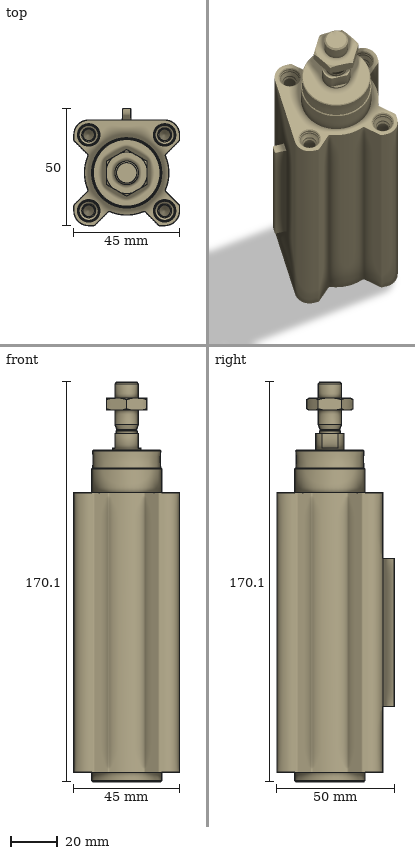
import cadquery as cq
import math


BARREL_BOTTOM = 4.0
BARREL_TOP = 123.2
COLLAR_TOP = 133.5
CAP_TOP = 141.2
ROD_FLATS_TOP = 148.3
THREAD_BOTTOM = 152.0
ROD_TOP = 170.1

BARREL_SIDE = 45.0
HALF_SIDE = BARREL_SIDE / 2
TUBE_DIAMETER = 36.0
SCREW_OFFSET = 16.2
CORNER_RADIUS = HALF_SIDE - SCREW_OFFSET
ARM_CORNER = 13.8
ROOT_FILLET = 0.9
ARM_EDGE_FILLET = 0.9

BOSS_DIAMETER = 30.0
BOSS_CHAMFER = 0.5
CAP_DIAMETER = 29.1
CAP_WAIST_DIAMETER = 28.7
CAP_CHAMFER = 0.3

HOLE_MOUTH_DIAMETER = 9.5
HOLE_RECESS_DIAMETER = 8.7
HOLE_SEAT_DIAMETER = 8.2
HOLE_THREAD_DIAMETER = 6.0
HOLE_CORE_DIAMETER = 5.0
HOLE_STEP_HEIGHT = 0.9
HOLE_DEPTH = 17.0
DRILL_POINT_ANGLE = 118.0

RAIL_WIDTH = 3.5
RAIL_PROJECTION = 5.0
RAIL_BOTTOM = 32.0
RAIL_TOP = 95.1
RAIL_FOOT_HEIGHT = 1.2
RAIL_FOOT_FLARE = 0.2
RAIL_EDGE_FILLET = 0.5

ROD_DIAMETER = 12.0
ROD_FLATS_WIDTH = 10.0
ROD_FLATS_BOTTOM = 142.0
THREAD_DIAMETER = 10.0
GROOVE_DIAMETER = 8.5
THREAD_TIP_DIAMETER = 8.7
THREAD_RUNOUT = 2.0
NECK_DIAMETER = 9.0
NECK_HEIGHT = 1.2

NUT_FLATS_WIDTH = 17.2
NUT_BOTTOM = 158.2
NUT_HEIGHT = 5.1
NUT_FACE_DIAMETER = 17.7
NUT_CHAMFER_ANGLE = 30.0


def cylinder(diameter, bottom, top):
    return cq.Workplane("XY").workplane(offset=bottom).circle(diameter / 2).extrude(top - bottom)


def revolved(profile):
    """Closed (radius, height) polygon turned about Z."""
    return cq.Workplane("XZ").polyline(profile).close().revolve(360, (0, 0), (0, 1))


def v_notch(angle):
    """Cutter for the V-shaped opening between two arms, on the side at the given angle."""
    return (
        cq.Workplane("XY")
        .workplane(offset=BARREL_BOTTOM)
        .polyline([(HALF_SIDE, -ARM_CORNER), (HALF_SIDE, ARM_CORNER), (HALF_SIDE - ARM_CORNER, 0)])
        .close()
        .extrude(BARREL_TOP - BARREL_BOTTOM)
        .rotate((0, 0, 0), (0, 0, 1), angle)
    )


def make_barrel():
    height = BARREL_TOP - BARREL_BOTTOM
    barrel = cq.Workplane("XY").workplane(offset=BARREL_BOTTOM).rect(BARREL_SIDE, BARREL_SIDE).extrude(height)
    barrel = barrel.edges("|Z").fillet(CORNER_RADIUS)
    tube = cylinder(TUBE_DIAMETER, BARREL_BOTTOM, BARREL_TOP)
    for angle in (0, 180, 270):
        barrel = barrel.cut(v_notch(angle).cut(tube))
    flank_shift = HALF_SIDE - ARM_CORNER
    root_y = (math.sqrt(2 * (TUBE_DIAMETER / 2) ** 2 - flank_shift**2) - flank_shift) / 2
    root_x = root_y + flank_shift
    middle = (BARREL_BOTTOM + BARREL_TOP) / 2
    for x, y, radius in ((root_x, root_y, ROOT_FILLET), (HALF_SIDE, ARM_CORNER, ARM_EDGE_FILLET)):
        for corner_x, corner_y in ((x, y), (x, -y), (-x, y), (-x, -y), (y, -x), (-y, -x)):
            edge = cq.selectors.NearestToPointSelector((corner_x, corner_y, middle))
            barrel = barrel.edges("|Z").edges(edge).fillet(radius)
    return barrel


def make_front_cap():
    collar = cylinder(BOSS_DIAMETER, BARREL_TOP, COLLAR_TOP).faces(">Z").chamfer(CAP_CHAMFER)
    radius = CAP_DIAMETER / 2
    waist_height = (COLLAR_TOP + CAP_TOP) / 2
    cap = (
        cq.Workplane("XZ")
        .moveTo(0, COLLAR_TOP)
        .lineTo(radius, COLLAR_TOP)
        .threePointArc((CAP_WAIST_DIAMETER / 2, waist_height), (radius, CAP_TOP - CAP_CHAMFER))
        .lineTo(radius - CAP_CHAMFER, CAP_TOP)
        .lineTo(0, CAP_TOP)
        .close()
        .revolve(360, (0, 0), (0, 1))
    )
    return collar.union(cap)


def make_rail():
    half_width = RAIL_WIDTH / 2
    foot_y = HALF_SIDE + RAIL_FOOT_HEIGHT
    half_foot = half_width + RAIL_FOOT_FLARE
    tip_y = HALF_SIDE + RAIL_PROJECTION
    outline = [
        (-half_foot, HALF_SIDE),
        (half_foot, HALF_SIDE),
        (half_width, foot_y),
        (half_width, tip_y),
        (-half_width, tip_y),
        (-half_width, foot_y),
    ]
    rail = cq.Workplane("XY").workplane(offset=RAIL_BOTTOM).polyline(outline).close()
    return rail.extrude(RAIL_TOP - RAIL_BOTTOM).edges("|Z and >Y").fillet(RAIL_EDGE_FILLET)


def make_screw_hole():
    """Cutter for one stepped screw hole, opening upward at the barrel top."""
    mouth = HOLE_MOUTH_DIAMETER / 2
    height = BARREL_TOP
    profile = [(0, height), (mouth, height)]
    for diameter in (HOLE_RECESS_DIAMETER, HOLE_SEAT_DIAMETER, HOLE_THREAD_DIAMETER, HOLE_CORE_DIAMETER):
        radius = diameter / 2
        height -= profile[-1][0] - radius
        profile.append((radius, height))
        height -= HOLE_STEP_HEIGHT
        profile.append((radius, height))
    core = HOLE_CORE_DIAMETER / 2
    core_bottom = BARREL_TOP - HOLE_DEPTH
    profile[-1] = (core, core_bottom)
    profile.append((0, core_bottom - core / math.tan(math.radians(DRILL_POINT_ANGLE / 2))))
    return revolved(profile)


def make_housing():
    bottom_boss = cylinder(BOSS_DIAMETER, 0, BARREL_BOTTOM).faces("<Z").chamfer(BOSS_CHAMFER)
    housing = make_barrel().union(bottom_boss).union(make_front_cap()).union(make_rail())
    hole = make_screw_hole()
    for x in (-SCREW_OFFSET, SCREW_OFFSET):
        for y in (-SCREW_OFFSET, SCREW_OFFSET):
            housing = housing.cut(hole.translate((x, y, 0)))
    return housing


def make_rod():
    thread = THREAD_DIAMETER / 2
    groove = GROOVE_DIAMETER / 2
    neck = NECK_DIAMETER / 2
    neck_top = ROD_FLATS_TOP + NECK_HEIGHT
    tip = THREAD_TIP_DIAMETER / 2
    shank = cylinder(ROD_DIAMETER, CAP_TOP, ROD_FLATS_TOP)
    flats = cq.Workplane("XY").workplane(offset=ROD_FLATS_BOTTOM).rect(ROD_FLATS_WIDTH, ROD_DIAMETER)
    flats = flats.extrude(ROD_FLATS_TOP - ROD_FLATS_BOTTOM)
    shank = shank.intersect(cylinder(ROD_DIAMETER, CAP_TOP, ROD_FLATS_BOTTOM).union(flats))
    stud = revolved(
        [
            (0, ROD_FLATS_TOP),
            (neck, ROD_FLATS_TOP),
            (neck, neck_top - (neck - groove)),
            (groove, neck_top),
            (groove, THREAD_BOTTOM - THREAD_RUNOUT),
            (thread, THREAD_BOTTOM),
            (thread, ROD_TOP - (thread - tip)),
            (tip, ROD_TOP),
            (0, ROD_TOP),
        ]
    )
    return shank.union(stud)


def make_nut():
    corner = NUT_FLATS_WIDTH / math.sqrt(3)
    face = NUT_FACE_DIAMETER / 2
    drop = (corner - face) * math.tan(math.radians(NUT_CHAMFER_ANGLE))
    nut_top = NUT_BOTTOM + NUT_HEIGHT
    hexagon = (
        cq.Workplane("XY")
        .workplane(offset=NUT_BOTTOM)
        .polygon(6, 2 * corner)
        .extrude(NUT_HEIGHT)
        .rotate((0, 0, 0), (0, 0, 1), 90)
    )
    chamfered_disc = revolved(
        [
            (0, NUT_BOTTOM),
            (face, NUT_BOTTOM),
            (corner, NUT_BOTTOM + drop),
            (corner, nut_top - drop),
            (face, nut_top),
            (0, nut_top),
        ]
    )
    return hexagon.intersect(chamfered_disc).cut(cylinder(THREAD_DIAMETER, NUT_BOTTOM, nut_top))


housing = make_housing()
rod = make_rod()
nut = make_nut()

result = cq.Compound.makeCompound([housing.val(), rod.val(), nut.val()])